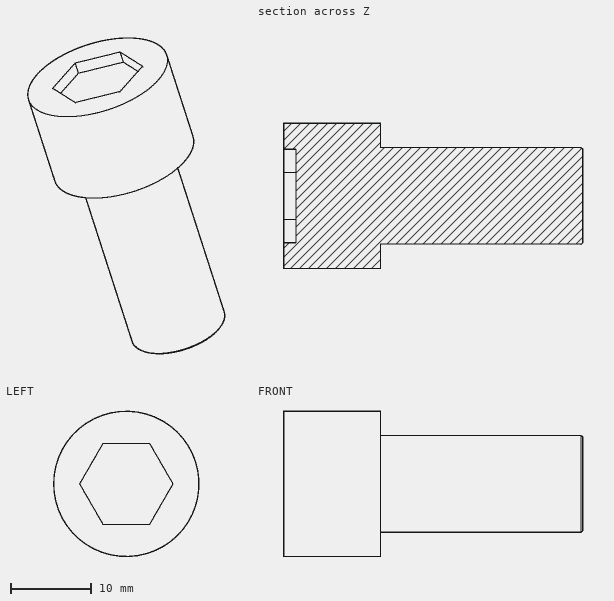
import cadquery as cq
import math

thread_diameter = 12.0
shank_length = 25.0
head_diameter = 1.5 * thread_diameter
head_length = thread_diameter
socket_across_flats = 10.0
socket_depth = 1.5
tip_chamfer = 0.2

socket_across_corners = socket_across_flats / math.cos(math.pi / 6)


def make_head():
    """Cylindrical head, with its bearing face at X = 0."""
    return cq.Workplane("YZ").circle(head_diameter / 2).extrude(-head_length)


def make_shank():
    """Plain shank running from the bearing face to a chamfered tip."""
    shank = cq.Workplane("YZ").circle(thread_diameter / 2).extrude(shank_length)
    return shank.faces(">X").chamfer(tip_chamfer)


def make_socket():
    """Hexagonal drive recess with two corners on the Y axis."""
    outer_face = cq.Workplane("YZ").workplane(offset=-head_length)
    return outer_face.polygon(6, socket_across_corners).extrude(socket_depth)


result = make_head().union(make_shank()).cut(make_socket())